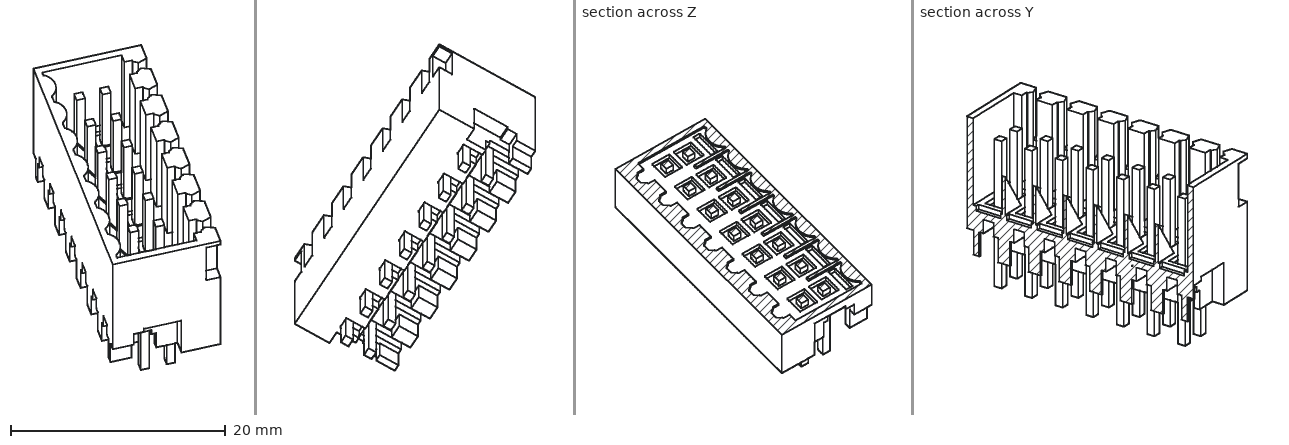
import cadquery as cq


length = 25.9
depth = 10.5
height = 14.2
columns = 7
pitch = 3.5
pin_size = 0.83
pin_tail = 3.5
pin_tip_drop = 2.4
front_row_y = 3.75
back_row_y = 6.27
column_xs = [(i - (columns - 1) / 2) * pitch for i in range(columns)]
gap_xs = [x + pitch / 2 for x in column_xs[:-1]]

side_wall = 0.73
front_wall = 0.65
back_wall = 2.12
floor_z = 5.18

scallop_half_width = 1.4
scallop_rise = 0.75

groove_half_width = 0.7
throat_half_width = 0.35
throat_depth = 0.9
flare_depth = 1.37
slot_half_width = 0.83

notch_length = 1.17
notch_depth = 1.4
notch_top_drop = 0.5
notch_bottom_drop = 4.97
notch_floor_z = height - notch_bottom_drop

pocket_depth = 0.5
pin_pocket_size = 2.02
latch_pocket_length = 2.77
latch_pocket_width = 0.75
latch_pocket_y = 1.81

gusset_width = 0.35
gusset_length = 3.7
gusset_height = 5.83

leg_depth = 2.05
leg_height = 2.55
leg_slot_half_width = 1.05
channel_back_y = 4.6
channel_step_height = 1.97
pin_slot_half_width = 0.57
pin_slot_height = 3.95
tail_slot_height = 1.48

recess_length = 1.3
recess_height = 4.4
recess_step_y = 3.03
recess_step_height = pin_slot_height

front_pin_back_y = front_row_y + pin_size / 2
back_pin_back_y = back_row_y + pin_size / 2


def block(x_range, y_range, z_range):
    """Axis-aligned box between the given limits."""
    sizes = [high - low for low, high in (x_range, y_range, z_range)]
    corner = (x_range[0], y_range[0], z_range[0])
    return cq.Workplane("XY").box(*sizes, centered=False).translate(corner)


def centred_block(x, half_width, y_range, z_range):
    """Box spanning half_width to each side of x."""
    return block((x - half_width, x + half_width), y_range, z_range)


def both_ends(shape):
    """The shape together with its mirror image at the other end of the housing."""
    return shape.union(shape.mirror("YZ"))


def cavity():
    inner_half = length / 2 - side_wall
    space = centred_block(0, inner_half, (front_wall, depth - back_wall), (floor_z, height))
    for x in column_xs:
        scallop = (
            cq.Workplane("XY", origin=(x, front_wall, floor_z))
            .moveTo(-scallop_half_width, 0)
            .threePointArc((0, scallop_rise), (scallop_half_width, 0))
            .close()
            .extrude(height - floor_z)
        )
        space = space.cut(scallop)
    return space


def coding_groove(x):
    """Slot and flare open down to the cavity floor; outer V open down to the notch floor."""
    outer = (
        cq.Workplane("XY", origin=(x, depth, notch_floor_z))
        .polyline([
            (-groove_half_width, 0),
            (-throat_half_width, -throat_depth),
            (throat_half_width, -throat_depth),
            (groove_half_width, 0),
        ])
        .close()
        .extrude(height - notch_floor_z)
    )
    inner = (
        cq.Workplane("XY", origin=(x, depth, floor_z))
        .polyline([
            (-throat_half_width, -throat_depth),
            (-groove_half_width, -flare_depth),
            (-slot_half_width, -flare_depth),
            (-slot_half_width, -back_wall),
            (slot_half_width, -back_wall),
            (slot_half_width, -flare_depth),
            (groove_half_width, -flare_depth),
            (throat_half_width, -throat_depth),
        ])
        .close()
        .extrude(height - floor_z)
    )
    return outer.union(inner)


def back_notches():
    end = -length / 2
    return both_ends(block(
        (end, end + notch_length),
        (depth - notch_depth, depth),
        (notch_floor_z, height - notch_top_drop),
    ))


def floor_pockets(x):
    z_range = (floor_z - pocket_depth, floor_z)
    pockets = centred_block(
        x,
        latch_pocket_length / 2,
        (latch_pocket_y - latch_pocket_width / 2, latch_pocket_y + latch_pocket_width / 2),
        z_range,
    )
    half = pin_pocket_size / 2
    for y in (front_row_y, back_row_y):
        pockets = pockets.union(centred_block(x, half, (y - half, y + half), z_range))
    return pockets


def underside_channel():
    """Stepped channel along the whole length, behind the front legs."""
    half = length / 2
    front = centred_block(0, half, (leg_depth, front_pin_back_y), (0, leg_height))
    back = centred_block(0, half, (front_pin_back_y, channel_back_y), (0, channel_step_height))
    return front.union(back)


def underside_slots(x):
    """Gap between legs, front pin slot and back pin slot of one column."""
    leg_gap = centred_block(x, leg_slot_half_width, (0, leg_depth), (0, leg_height))
    front_slot = centred_block(x, pin_slot_half_width, (0, front_pin_back_y), (0, pin_slot_height))
    back_slot = centred_block(
        x, pin_slot_half_width, (channel_back_y, back_pin_back_y), (0, tail_slot_height)
    )
    return leg_gap.union(front_slot).union(back_slot)


def end_recesses():
    end = -length / 2
    x_range = (end, end + recess_length)
    corner = block((end, end + side_wall), (0, leg_depth), (0, leg_height))
    low = block(x_range, (leg_depth, recess_step_y), (0, recess_step_height))
    high = block(x_range, (recess_step_y, back_pin_back_y), (0, recess_height))
    return both_ends(corner.union(low).union(high))


def gusset(x):
    """Triangular web from the cavity floor to the front wall."""
    return (
        cq.Workplane("YZ", origin=(x - gusset_width / 2, front_wall, floor_z))
        .polyline([(0, 0), (gusset_length, 0), (0, gusset_height)])
        .close()
        .extrude(gusset_width)
    )


def pin(x, y):
    half = pin_size / 2
    return centred_block(x, half, (y - half, y + half), (-pin_tail, height - pin_tip_drop))


housing = centred_block(0, length / 2, (0, depth), (0, height))
housing = housing.cut(cavity()).cut(back_notches())
housing = housing.cut(underside_channel()).cut(end_recesses())

for column_x in column_xs:
    housing = housing.cut(coding_groove(column_x))
    housing = housing.cut(floor_pockets(column_x))
    housing = housing.cut(underside_slots(column_x))

for gap_x in gap_xs:
    housing = housing.union(gusset(gap_x))

for column_x in column_xs:
    for row_y in (front_row_y, back_row_y):
        housing = housing.union(pin(column_x, row_y))

result = housing